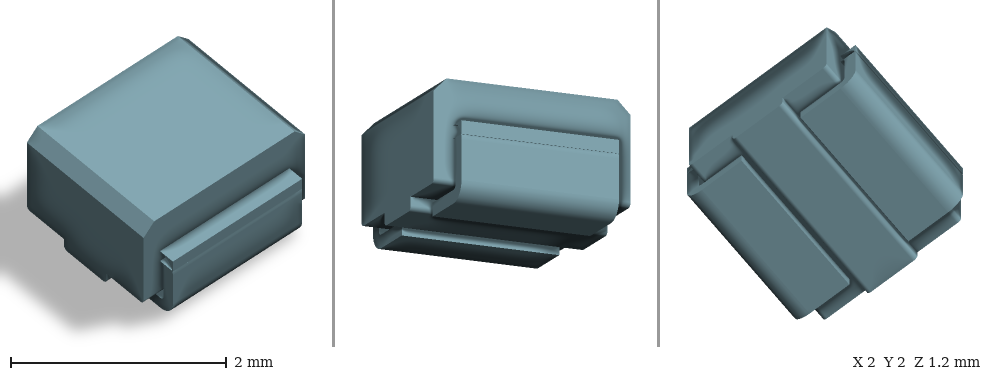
import cadquery as cq
import math

overall_length = 2.0
overall_height = 1.2
housing_width = 1.632
housing_bottom = 0.18
top_chamfer = 0.132
pad_width = 0.592
pad_bottom = 0.048
housing_radius = 0.045

strip = 0.132
lead_width = 1.6
lead_height = 0.755
foot_tip = 0.35
inner_bend = 0.048
outer_bend = inner_bend + strip
lip = 0.002


def arc_middle(centre_x, centre_z, radius, start_angle, end_angle):
    """Point halfway along an arc in the XZ plane; angles in degrees."""
    angle = math.radians((start_angle + end_angle) / 2)
    return centre_x + radius * math.cos(angle), centre_z + radius * math.sin(angle)


def make_housing():
    block = (
        cq.Workplane("XY")
        .box(housing_width, overall_length, overall_height - housing_bottom, centered=(True, True, False))
        .translate((0, 0, housing_bottom))
        .faces(">Z").edges("|X").chamfer(top_chamfer)
        .faces("<Z").edges("|Y").fillet(housing_radius)
    )
    pad = (
        cq.Workplane("XY")
        .box(pad_width, overall_length, housing_bottom - pad_bottom, centered=(True, True, False))
        .translate((0, 0, pad_bottom))
        .faces("<Z").edges("|Y").fillet(housing_radius)
    )
    return block.union(pad)


def make_left_lead():
    outer_x = -overall_length / 2
    inner_x = outer_x + strip
    bend_x = outer_x + outer_bend
    lower_bend_z = outer_bend
    upper_bend_z = lead_height - outer_bend
    ledge_z = lead_height - strip

    hollow = outer_bend - lip
    bend_reach = math.sqrt(outer_bend**2 - inner_bend**2)
    hollow_reach = math.sqrt(hollow**2 - inner_bend**2)
    bend_angle = 180 - math.degrees(math.asin(inner_bend / outer_bend))
    hollow_angle = 180 - math.degrees(math.asin(inner_bend / hollow))

    profile = (
        cq.Workplane("XZ")
        .moveTo(-foot_tip, 0)
        .lineTo(bend_x, 0)
        .threePointArc(arc_middle(bend_x, lower_bend_z, outer_bend, 180, 270), (outer_x, lower_bend_z))
        .lineTo(outer_x, upper_bend_z)
        .threePointArc(
            arc_middle(bend_x, upper_bend_z, outer_bend, bend_angle, 180),
            (bend_x - bend_reach, ledge_z),
        )
        .lineTo(outer_x, ledge_z)
        .lineTo(outer_x, lead_height)
        .lineTo(bend_x, lead_height)
        .lineTo(bend_x, upper_bend_z + hollow)
        .threePointArc(
            arc_middle(bend_x, upper_bend_z, hollow, 90, hollow_angle),
            (bend_x - hollow_reach, ledge_z),
        )
        .lineTo(bend_x, ledge_z)
        .threePointArc(arc_middle(bend_x, upper_bend_z, inner_bend, 90, 180), (inner_x, upper_bend_z))
        .lineTo(inner_x, lower_bend_z)
        .threePointArc(arc_middle(bend_x, lower_bend_z, inner_bend, 180, 270), (bend_x, strip))
        .lineTo(-foot_tip, strip)
        .close()
    )
    return profile.extrude(lead_width / 2, both=True)


housing = make_housing()

leads = []
for turn in (0, 180):
    lead = make_left_lead().rotate((0, 0, 0), (0, 0, 1), turn)
    leads.append(lead.val())

result = cq.Compound.makeCompound([housing.val(), *leads])